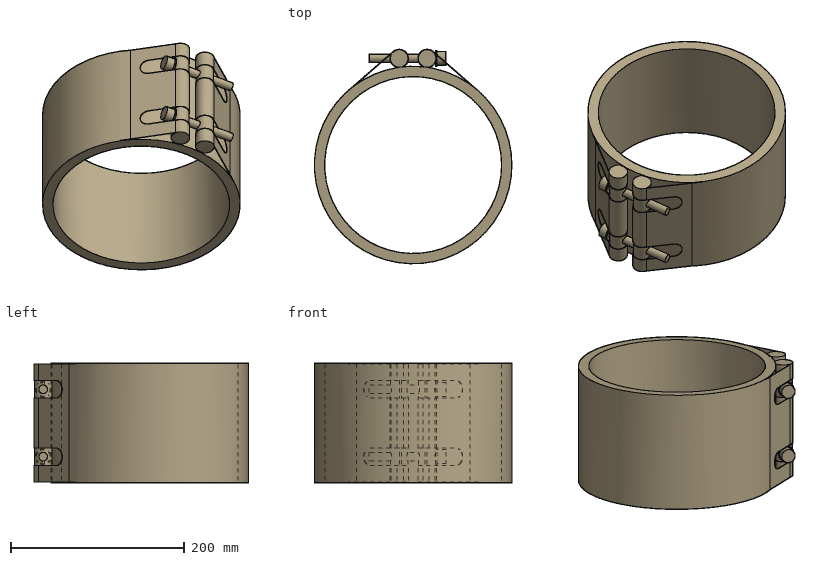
import cadquery as cq
import math

sleeve_diameter = 228.2
bore_diameter = 204.0
sleeve_height = 138.0
sleeve_radius = sleeve_diameter / 2

total_depth = 247.8
strap_thickness = 0.62
strap_height = 136.5
pin_diameter = 20.0
pin_radius = pin_diameter / 2
loop_radius = pin_radius + strap_thickness
pin_offset = 16.0
pin_y = total_depth - sleeve_radius - loop_radius

window_width = 20.0
window_reach = 35.2

bolt_diameter = 10
bolt_spacing = 77.8
bolt_start = -50.8
washer_diameter = 18.0
washer_start = 26.0
washer_thickness = 1.7
head_diameter = 16.0
head_length = 10
bolt_heights = [-bolt_spacing / 2, bolt_spacing / 2]

tangent_angle = math.atan2(pin_y, pin_offset) - math.acos(
    (sleeve_radius - loop_radius) / math.hypot(pin_offset, pin_y)
)
normal = (math.cos(tangent_angle), math.sin(tangent_angle))
toward_sleeve = (normal[1], -normal[0])


def upright_cylinder(radius, height, x=0, y=0):
    return cq.Workplane("XY").center(x, y).circle(radius).extrude(height / 2, both=True)


def along_x(diameter, start, length, z):
    return cq.Workplane("YZ", origin=(start, pin_y, z)).circle(diameter / 2).extrude(length)


def make_sleeve():
    bore = upright_cylinder(bore_diameter / 2, sleeve_height)
    return upright_cylinder(sleeve_radius, sleeve_height).cut(bore)


def make_strap_flap():
    """Right-hand flap: flat tangent sheet and loop, with a window at each bolt."""
    inner_radius = sleeve_radius - strap_thickness
    outline = [
        (sleeve_radius * normal[0], sleeve_radius * normal[1]),
        (pin_offset + loop_radius * normal[0], pin_y + loop_radius * normal[1]),
        (pin_offset + pin_radius * normal[0], pin_y + pin_radius * normal[1]),
        (inner_radius * normal[0], inner_radius * normal[1]),
    ]
    sheet = cq.Workplane("XY").polyline(outline).close().extrude(strap_height / 2, both=True)
    loop = upright_cylinder(loop_radius, strap_height, pin_offset, pin_y)
    loop = loop.cut(upright_cylinder(pin_radius, strap_height, pin_offset, pin_y))
    flap = sheet.union(loop)

    for z in bolt_heights:
        plane = cq.Plane(
            origin=(pin_offset, pin_y, z),
            xDir=(*toward_sleeve, 0),
            normal=(*normal, 0),
        )
        straight_length = window_reach + 2 * loop_radius
        window = (
            cq.Workplane(plane)
            .center(window_reach - straight_length / 2, 0)
            .rect(straight_length, window_width)
            .extrude(2 * loop_radius, both=True)
        )
        rounded_end = (
            cq.Workplane(plane)
            .center(window_reach, 0)
            .circle(window_width / 2)
            .extrude(2 * loop_radius, both=True)
        )
        flap = flap.cut(window).cut(rounded_end)
    return flap


def make_bolt(z):
    washer_end = washer_start + washer_thickness
    shank = along_x(bolt_diameter, bolt_start, washer_start - bolt_start, z)
    washer = along_x(washer_diameter, washer_start, washer_thickness, z)
    head = along_x(head_diameter, washer_end, head_length, z)
    return shank.union(washer).union(head)


flap = make_strap_flap()
body = make_sleeve().union(flap).union(flap.mirror("YZ"))
for side in (-1, 1):
    body = body.union(upright_cylinder(pin_radius, strap_height, side * pin_offset, pin_y))
for z in bolt_heights:
    body = body.union(make_bolt(z))

result = body